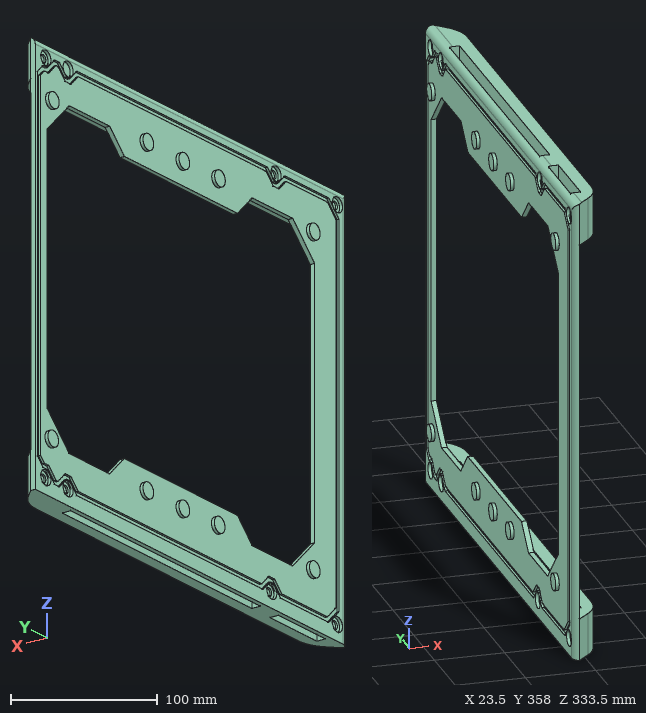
import math

import cadquery as cq

LENGTH = 358.0
HEIGHT = 333.5
DEPTH = 23.5
HALF_LENGTH = LENGTH / 2
HALF_HEIGHT = HEIGHT / 2

PAD_HEIGHT = 2.5
PLATE_THICKNESS = 4.0
EDGE_RADIUS = 6.0
EDGE_LIP = PLATE_THICKNESS
PLATE_FRONT = PAD_HEIGHT
PLATE_BACK = PLATE_FRONT + PLATE_THICKNESS
LIP_X = PLATE_FRONT + EDGE_LIP

RAIL_HEIGHT = 30.5
END_ARC_RADIUS = 29.5
SLOT_WIDTH = 7.0
SLOT_SPANS = [(-83.0, 134.0), (-157.5, -103.8)]
LOWER_SLOT_SHIFT = -0.7

OPENING_CENTER = 12.0
OPENING_HALF_LENGTH = 153.0
OPENING_HALF_HEIGHT = 127.8
OPENING_CORNER = 25.0
TAB_HALF_LENGTH = 64.8
TAB_HEIGHT = 17.0

SCREW_Z = 154.3
CORNER_SCREW_Y = 166.8
SIDE_SCREW_Y = 141.5
UPPER_SCREW_Y = -96.5
LOWER_SCREW_Y = -91.5
SCREW_DIAMETER = 6.5
HEAD_DIAMETER = 11.5
HEAD_DEPTH = 2.5

GROOVE_WIDTH = 3.5
GROOVE_DEPTH = 1.8
GROOVE_LEFT_Y = 174.7
GROOVE_RIGHT_Y = -CORNER_SCREW_Y
DETOUR_HALF_LENGTH = 10.7
DETOUR_DEPTH = 8.2
DETOUR_FLAT = DETOUR_HALF_LENGTH - DETOUR_DEPTH

PAD_DIAMETER = 12.0
PAD_CENTERS = [
    (161.0, 124.5), (53.0, 129.0), (11.8, 128.0), (-29.0, 128.5), (-137.5, 124.5),
    (161.8, -124.5), (53.0, -127.5), (11.8, -127.5), (-28.5, -126.5), (-137.5, -124.0),
]


def prism(points, x_start, x_end):
    """Extrude a closed outline in the YZ plane from x_start to x_end."""
    return cq.Workplane("YZ", origin=(x_start, 0, 0)).polyline(points).close().extrude(x_end - x_start)


def discs(centers, diameter, x_start, x_end):
    """Round posts along X at the given (y, z) centres."""
    plane = cq.Workplane("YZ", origin=(x_start, 0, 0))
    return plane.pushPoints(centers).circle(diameter / 2).extrude(x_end - x_start)


def plan_block():
    """Full-height block with tapered ends and a rounded front edge at the -Y end."""
    arc_rise = END_ARC_RADIUS * math.sin(math.radians(45))
    arc_start_x = DEPTH - (END_ARC_RADIUS - arc_rise)
    arc_start_y = HALF_LENGTH - (arc_start_x - LIP_X)
    arc_end_y = arc_start_y - arc_rise
    edge_length = math.sqrt(EDGE_RADIUS**2 - (EDGE_RADIUS - EDGE_LIP) ** 2)
    profile = (
        cq.Workplane("XY", origin=(0, 0, -HALF_HEIGHT))
        .moveTo(PLATE_FRONT, HALF_LENGTH)
        .lineTo(LIP_X, HALF_LENGTH)
        .lineTo(arc_start_x, arc_start_y)
        .radiusArc((DEPTH, arc_end_y), END_ARC_RADIUS)
        .lineTo(DEPTH, -arc_end_y)
        .radiusArc((arc_start_x, -arc_start_y), END_ARC_RADIUS)
        .lineTo(LIP_X, -HALF_LENGTH)
        .radiusArc((PLATE_FRONT, -HALF_LENGTH + edge_length), EDGE_RADIUS)
        .close()
    )
    return profile.extrude(HEIGHT)


def rounded_top_bar():
    """Bar along Y whose top front edge carries the edge radius."""
    bar = cq.Workplane("XY").box(DEPTH - PLATE_FRONT, LENGTH, HEIGHT)
    bar = bar.edges("<X and >Z").fillet(EDGE_RADIUS)
    return bar.translate(((DEPTH + PLATE_FRONT) / 2, 0, 0))


def rail_gap():
    """Space behind the plate between the two rails."""
    gap = cq.Workplane("XY").box(DEPTH - PLATE_BACK, LENGTH, HEIGHT - 2 * RAIL_HEIGHT)
    return gap.translate(((DEPTH + PLATE_BACK) / 2, 0, 0))


def rail_slots(z_center, shift):
    """Two slots through one rail, directly behind the plate."""
    slots = cq.Workplane("XY")
    for y_start, y_end in SLOT_SPANS:
        slot = cq.Workplane("XY").box(SLOT_WIDTH, y_end - y_start, RAIL_HEIGHT)
        slot_center = (PLATE_BACK + SLOT_WIDTH / 2, (y_start + y_end) / 2 + shift, z_center)
        slots = slots.union(slot.translate(slot_center))
    return slots


def opening():
    """Window with cut corners, narrowed by a tab at the top and bottom."""
    tab_z = OPENING_HALF_HEIGHT - TAB_HEIGHT
    tab_root = TAB_HALF_LENGTH + TAB_HEIGHT
    right_half = [
        (TAB_HALF_LENGTH, tab_z),
        (tab_root, OPENING_HALF_HEIGHT),
        (OPENING_HALF_LENGTH - OPENING_CORNER, OPENING_HALF_HEIGHT),
        (OPENING_HALF_LENGTH, OPENING_HALF_HEIGHT - OPENING_CORNER),
    ]
    right_half += [(y, -z) for y, z in reversed(right_half)]
    left_half = [(-y, z) for y, z in reversed(right_half)]
    points = [(OPENING_CENTER + y, z) for y, z in right_half + left_half]
    return prism(points, 0, PLATE_BACK)


def groove_half_path(inner_screw_y, side):
    """Centreline of half the groove, from the +Y side to the -Y side; side is 1 (top) or -1 (bottom)."""
    step_z = SCREW_Z - DETOUR_DEPTH
    corner_y = CORNER_SCREW_Y + DETOUR_FLAT
    points = [
        (GROOVE_LEFT_Y, step_z - (GROOVE_LEFT_Y - corner_y)),
        (corner_y, step_z),
        (CORNER_SCREW_Y - DETOUR_FLAT, step_z),
        (CORNER_SCREW_Y - DETOUR_HALF_LENGTH, SCREW_Z),
    ]
    for screw_y in (SIDE_SCREW_Y, inner_screw_y):
        points += [
            (screw_y + DETOUR_HALF_LENGTH, SCREW_Z),
            (screw_y + DETOUR_FLAT, step_z),
            (screw_y - DETOUR_FLAT, step_z),
            (screw_y - DETOUR_HALF_LENGTH, SCREW_Z),
        ]
    points += [
        (GROOVE_RIGHT_Y + DETOUR_HALF_LENGTH, SCREW_Z),
        (GROOVE_RIGHT_Y, SCREW_Z - DETOUR_HALF_LENGTH),
    ]
    return [(y, side * z) for y, z in points]


def groove():
    """Closed seal groove of constant width in the front face."""
    path = groove_half_path(UPPER_SCREW_Y, 1) + groove_half_path(LOWER_SCREW_Y, -1)[::-1]

    def area(offset):
        outline = cq.Workplane("YZ", origin=(PLATE_FRONT, 0, 0)).polyline(path).close()
        return outline.offset2D(offset, "intersection").extrude(GROOVE_DEPTH)

    return area(GROOVE_WIDTH / 2).cut(area(-GROOVE_WIDTH / 2))


def screw_holes():
    """Counterbored screw holes, plus one plain recess without a through hole."""
    recess = (SIDE_SCREW_Y, SCREW_Z)
    screws = [(y, z) for y in (CORNER_SCREW_Y, -CORNER_SCREW_Y) for z in (SCREW_Z, -SCREW_Z)]
    screws += [(SIDE_SCREW_Y, -SCREW_Z), (UPPER_SCREW_Y, SCREW_Z), (LOWER_SCREW_Y, -SCREW_Z)]
    heads = discs(screws + [recess], HEAD_DIAMETER, PLATE_FRONT, PLATE_FRONT + HEAD_DEPTH)
    shanks = discs(screws, SCREW_DIAMETER, PLATE_FRONT, PLATE_BACK)
    return heads.union(shanks)


rail_z = HALF_HEIGHT - RAIL_HEIGHT / 2

result = plan_block().intersect(rounded_top_bar())
result = result.cut(rail_gap())
result = result.cut(rail_slots(rail_z, 0))
result = result.cut(rail_slots(-rail_z, LOWER_SLOT_SHIFT))
result = result.cut(opening())
result = result.cut(groove())
result = result.cut(screw_holes())
result = result.union(discs(PAD_CENTERS, PAD_DIAMETER, 0, PLATE_FRONT))
result = result.translate((-DEPTH / 2, 0, 0))